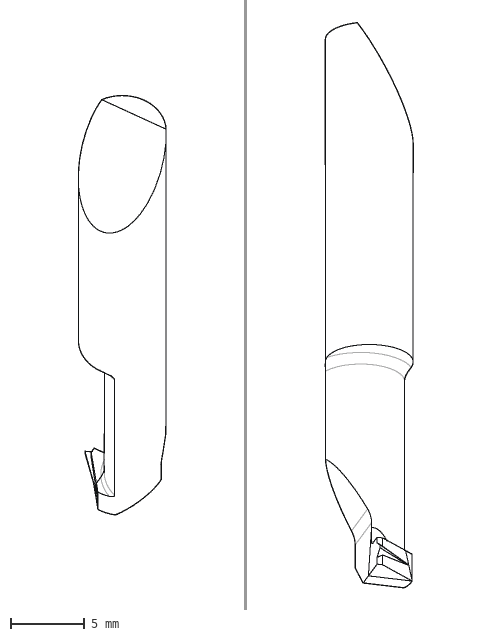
import cadquery as cq
import math

length = 40.0
radius = 3.0
slant_angle = math.radians(30)
top_edge_y = 1.6

neck_offset = 2.05
neck_top = 16.0
upper_fillet = 0.6
lower_fillet = 0.25

head_height = 2.0
rake_y = 0.1
rake_slope_top = 9.15
rake_blend = 2.0
head_left = -2.3
land_depth = 0.4
relief_end_x = -0.2
corner_chamfer = 1.9

tooth_tip_x = -radius
tooth_z = 1.05
tooth_crest = 0.25
tooth_flank_angle = math.radians(30)
tooth_length = 2.9
tooth_root_depth = 0.2
tooth_end_x = -0.3
tooth_end_crest = 0.05
tooth_end_base = 0.3

joint_top_x = -0.95
joint_top_z = 3.3

clearance = 4.0
reach = radius + clearance


def make_neck():
    """Round neck with a concave fillet flaring out at each end."""
    upper_arc = (
        radius + upper_fillet * (1 - math.sqrt(0.5)),
        neck_top - upper_fillet * (1 - math.sqrt(0.5)),
    )
    lower_arc = (
        radius + lower_fillet * (1 - math.sqrt(0.5)),
        head_height + lower_fillet * (1 - math.sqrt(0.5)),
    )
    profile = (
        cq.Workplane("XZ")
        .moveTo(0, head_height)
        .lineTo(radius + lower_fillet, head_height)
        .threePointArc(lower_arc, (radius, head_height + lower_fillet))
        .lineTo(radius, neck_top - upper_fillet)
        .threePointArc(upper_arc, (radius + upper_fillet, neck_top))
        .lineTo(0, neck_top)
        .close()
    )
    return profile.revolve(360, (0, 0, 0), (0, 1, 0)).translate((neck_offset, 0, 0))


def make_head():
    """Block left of the tool axis bounded by the land and the slanted relief face."""
    relief_end_y = -math.sqrt(radius**2 - relief_end_x**2)
    return (
        cq.Workplane("XY")
        .moveTo(head_left, reach)
        .lineTo(head_left, rake_y - land_depth)
        .lineTo(relief_end_x, relief_end_y)
        .lineTo(relief_end_x, -reach)
        .lineTo(reach, -reach)
        .lineTo(reach, reach)
        .close()
        .extrude(head_height)
    )


def make_tooth():
    """Pointed thread tooth that narrows and sinks into the relief face."""
    root_x = head_left + tooth_root_depth
    end_root_x = tooth_end_x + tooth_root_depth
    half_crest = tooth_crest / 2
    half_base = half_crest + (root_x - tooth_tip_x) * math.tan(tooth_flank_angle)
    start = [
        (tooth_tip_x, tooth_z - half_crest),
        (root_x, tooth_z - half_base),
        (root_x, tooth_z + half_base),
        (tooth_tip_x, tooth_z + half_crest),
    ]
    end = [
        (tooth_end_x, tooth_z - tooth_end_crest / 2),
        (end_root_x, tooth_z - tooth_end_base / 2),
        (end_root_x, tooth_z + tooth_end_base / 2),
        (tooth_end_x, tooth_z + tooth_end_crest / 2),
    ]
    return (
        cq.Workplane("XZ", origin=(0, rake_y, 0))
        .polyline(start)
        .close()
        .workplane(offset=tooth_length)
        .polyline(end)
        .close()
        .loft(ruled=True)
    )


def side_prism(points):
    """Prism of a (y, z) outline running through the tool along X."""
    return cq.Workplane("YZ").polyline(points).close().extrude(reach, both=True)


def make_top_cut():
    """Material removed by the slanted flat at the top of the shank."""
    low_z = length - (top_edge_y + reach) / math.tan(slant_angle)
    return side_prism([(top_edge_y, length), (-reach, low_z), (-reach, length)])


def make_rake_cut():
    """Material removed on the +Y side, ending in a blended slope."""
    slope_bottom = rake_slope_top - (radius - rake_y) / math.tan(slant_angle)
    slope_end_z = slope_bottom + (reach - rake_y) / math.tan(slant_angle)
    outline = [(rake_y, 0), (rake_y, slope_bottom), (reach, slope_end_z), (reach, 0)]
    inner_corner = cq.selectors.NearestToPointSelector((0, rake_y, slope_bottom))
    return side_prism(outline).edges(inner_corner).fillet(rake_blend)


def make_corner_cut():
    """45 degree chamfer on the +X side of the lower end."""
    outline = [(radius - corner_chamfer, 0), (reach, reach - radius + corner_chamfer), (reach, 0)]
    return cq.Workplane("XZ").polyline(outline).close().extrude(reach, both=True)


def make_tip_region():
    """Space left of the slanted joint plane."""
    outline = [(relief_end_x, 0), (joint_top_x, joint_top_z), (-reach, joint_top_z), (-reach, 0)]
    return cq.Workplane("XZ").polyline(outline).close().extrude(reach, both=True)


def make_tool():
    """Complete tool shape before it is divided at the joint."""
    shank = cq.Workplane("XY").workplane(offset=neck_top).circle(radius).extrude(length - neck_top)
    envelope = cq.Workplane("XY").circle(radius).extrude(neck_top)
    lower = make_neck().union(make_head()).intersect(envelope)
    tool = shank.union(lower).cut(make_top_cut()).cut(make_rake_cut()).cut(make_corner_cut())
    return tool.union(make_tooth())


tool = make_tool()
tip_region = make_tip_region()
holder = tool.cut(tip_region)
cutting_tip = tool.intersect(tip_region)

result = cq.Compound.makeCompound([holder.val(), cutting_tip.val()])